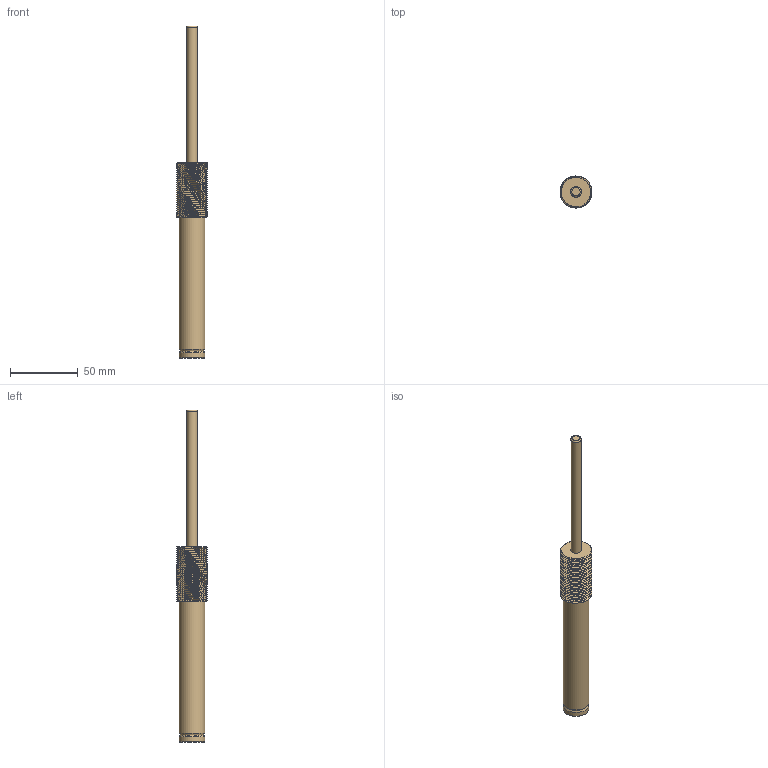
import cadquery as cq

rod_radius = 4.0
rod_length = 101.0
rod_tip_fillet = 1.0

thread_radius = 11.785
thread_length = 40.0
thread_pitch = 1.5
thread_depth = 0.92
thread_crest_width = 0.08 * thread_pitch
thread_root_width = thread_pitch / 4
thread_lead_turns = 0.93
cutter_overshoot = 0.05

body_radius = 9.5
total_length = 245.0
body_chamfer = 0.5

groove_center_z = 5.1
groove_depth = 0.6
groove_half_width = 1.2

thread_top_z = total_length - rod_length
thread_bottom_z = thread_top_z - thread_length


def make_cylinder(radius, bottom_z, top_z):
    return cq.Workplane("XY").workplane(offset=bottom_z).circle(radius).extrude(top_z - bottom_z)


def make_rod():
    rod = make_cylinder(rod_radius, thread_top_z, total_length)
    return rod.faces(">Z").fillet(rod_tip_fillet)


def make_body():
    """Plain cylinder with a chamfered lower end and a V-shaped ring groove near it."""
    body = make_cylinder(body_radius, 0, thread_bottom_z).faces("<Z").chamfer(body_chamfer)
    groove = (
        cq.Workplane("XZ")
        .moveTo(body_radius - groove_depth, groove_center_z)
        .lineTo(body_radius, groove_center_z + groove_half_width)
        .lineTo(body_radius, groove_center_z - groove_half_width)
        .close()
        .revolve(360, (0, 0), (0, 1))
    )
    return body.cut(groove)


def make_thread():
    """Collar with a right-hand V groove: an overlong threaded blank trimmed flat at both ends."""
    root_radius = thread_radius - thread_depth
    mouth_half_width = (thread_pitch - thread_crest_width) / 2
    root_half_width = thread_root_width / 2
    flank_slope = (mouth_half_width - root_half_width) / thread_depth
    cutter_radius = thread_radius + cutter_overshoot
    cutter_half_width = mouth_half_width + cutter_overshoot * flank_slope

    lead = thread_lead_turns * thread_pitch
    cutter_bottom_z = thread_bottom_z - lead
    cutter_top_z = thread_top_z + lead
    helix = cq.Wire.makeHelix(thread_pitch, cutter_top_z - cutter_bottom_z, root_radius)
    cutter = (
        cq.Workplane("XZ")
        .moveTo(root_radius, -root_half_width)
        .lineTo(cutter_radius, -cutter_half_width)
        .lineTo(cutter_radius, cutter_half_width)
        .lineTo(root_radius, root_half_width)
        .close()
        .sweep(cq.Workplane(helix), isFrenet=True)
        .translate((0, 0, cutter_bottom_z))
    )

    blank = make_cylinder(thread_radius, cutter_bottom_z - thread_pitch, cutter_top_z + thread_pitch)
    trim = make_cylinder(2 * thread_radius, thread_bottom_z, thread_top_z)
    return blank.cut(cutter).intersect(trim)


result = make_body().union(make_thread()).union(make_rod())